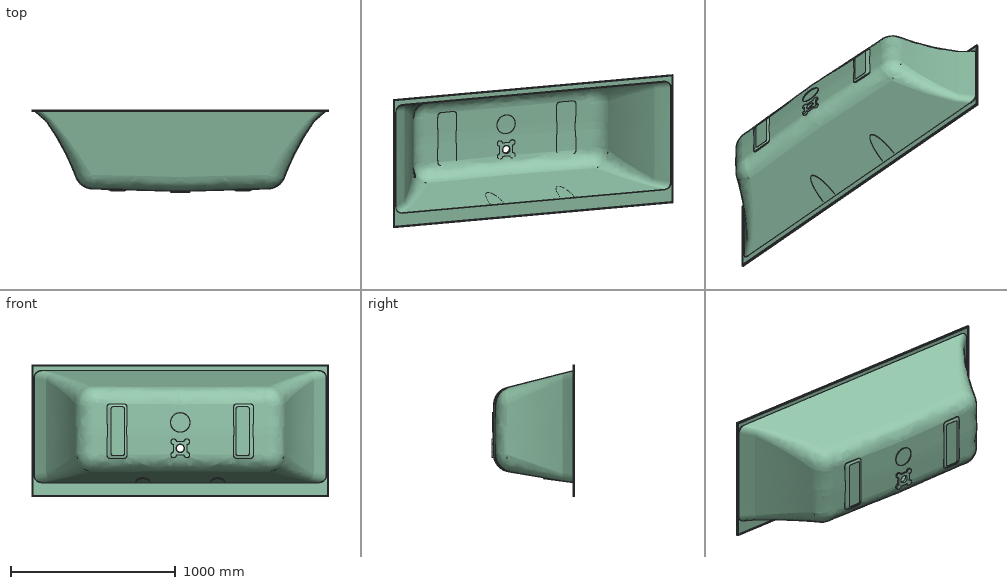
import cadquery as cq
import math


RIM_LENGTH = 1800.0
RIM_WIDTH = 800.0
RIM_THICKNESS = 10.0
LIP_WIDTH = 6.0

WALL = 6.0
TOTAL_DEPTH = 502.78

STATIONS = [
    (0.0, 894.0, 45.0),
    (38.0, 848.0, 45.0),
    (72.0, 812.0, 45.0),
    (180.0, 742.0, 61.0),
    (288.0, 685.0, 80.0),
    (390.0, 641.0, 99.0),
    (510.0, 596.0, 121.0),
]
FLARE_STATIONS = 3

UPPER_RIM_Z, UPPER_SLOPE = 367.0, 0.255
LOWER_RIM_Z, LOWER_SLOPE = -317.3, 0.168

FLOOR_DEPTH = 496.0
FLOOR_FLAT = 48.0
FLOOR_FALL_ACROSS = 0.025
FLOOR_FALL_ALONG = 0.028
FLOOR_RADIUS = 110.0

PAD_X, PAD_Z = 379.0, -3.0
PAD_LENGTH, PAD_WIDTH, PAD_CORNER = 297.0, 80.0, 12.0
PAD_DEPTH = 492.0
PAD_FLANK_ANGLE = 70.0
PAD_BASE_X, PAD_BASE_LENGTH, PAD_BASE_WIDTH, PAD_BASE_CORNER = 384.0, 332.0, 123.0, 22.0

DISC_Z, DISC_RADIUS, DISC_DEPTH = 50.0, 59.0, 498.0

DRAIN_Z, DRAIN_RADIUS = -107.0, 24.0
DRAIN_BLOCK = 84.0
LUG_OFFSET, LUG_RADIUS = 40.0, 17.0

GRIP_X, GRIP_WIDTH = 227.0, 88.0
GRIP_START, GRIP_END = 18.0, 190.0
GRIP_HEIGHT = 6.0

ROOT_DEPTH = 470.0


def facing_front(depth):
    """Workplane parallel to the rim at the given depth; extruding goes toward -Y."""
    return cq.Workplane("XZ", origin=(0, -depth, 0))


def half_outline(depth, half_length, corner_radius, inset):
    """Half of the tub's cross-section at one depth: flat at X = 0, rounded at its two -X corners."""
    top = UPPER_RIM_Z - UPPER_SLOPE * depth - inset
    bottom = LOWER_RIM_Z + LOWER_SLOPE * depth + inset
    end = -half_length + inset
    radius = corner_radius - inset
    middle = radius * (1 - math.sqrt(0.5))
    return (
        facing_front(depth)
        .moveTo(0, top)
        .lineTo(end + radius, top)
        .threePointArc((end + middle, top - middle), (end, top - radius))
        .lineTo(end, bottom + radius)
        .threePointArc((end + middle, bottom + middle), (end + radius, bottom))
        .lineTo(0, bottom)
        .close()
        .val()
    )


def half_floor_block(inset):
    """Everything above the floor on the -X side: the floor is crowned across and falls toward the end."""
    reach = RIM_LENGTH / 2
    edge_depth = FLOOR_DEPTH - inset - FLOOR_FALL_ACROSS * (RIM_WIDTH / 2 - FLOOR_FLAT / 2)
    center_depth = FLOOR_DEPTH - inset
    profile = [
        (RIM_THICKNESS, RIM_WIDTH / 2),
        (-edge_depth, RIM_WIDTH / 2),
        (-center_depth, FLOOR_FLAT / 2),
        (-center_depth, -FLOOR_FLAT / 2),
        (-edge_depth, -RIM_WIDTH / 2),
        (RIM_THICKNESS, -RIM_WIDTH / 2),
    ]
    start = cq.Wire.makePolygon([cq.Vector(0, y, z) for y, z in profile], close=True)
    slant = cq.Vector(-reach, FLOOR_FALL_ALONG * reach, 0)
    return cq.Workplane(cq.Solid.extrudeLinear(start, [], slant))


def floor_rim(body):
    """Edges where the floor meets the walls: lower than the last wall station that clears the floor."""
    wall_depth = STATIONS[-2][0]
    selected = []
    for edge in body.edges().vals():
        box = edge.BoundingBox()
        is_low = -box.ymax > wall_depth
        is_off_center = box.xmin < -FLOOR_FLAT / 2
        is_floor_crease = edge.geomType() == "LINE" and abs(edge.Center().z) < FLOOR_FLAT
        if is_low and is_off_center and not is_floor_crease:
            selected.append(edge)
    return body.newObject(selected)


def half_tub(inset):
    """Half of the tub as a solid block, on the -X side, with every surface moved inward by the inset."""
    sections = [half_outline(*station, inset) for station in STATIONS]
    flare = cq.Solid.makeLoft(sections[:FLARE_STATIONS])
    walls = cq.Solid.makeLoft(sections[FLARE_STATIONS - 1:])
    body = cq.Workplane(flare.fuse(walls)).intersect(half_floor_block(inset))
    return floor_rim(body).fillet(FLOOR_RADIUS - inset)


def tub_body(inset):
    """Whole tub as a solid block: the outside at zero inset, the cavity at an inset of one wall."""
    half = half_tub(inset)
    return half.union(half.mirror("YZ"))


def rim():
    """Thin flange with a lip turned down along its outer edge."""
    plate = facing_front(0).rect(RIM_LENGTH, RIM_WIDTH).extrude(RIM_THICKNESS)
    recess = (
        facing_front(WALL)
        .rect(RIM_LENGTH - 2 * LIP_WIDTH, RIM_WIDTH - 2 * LIP_WIDTH)
        .extrude(RIM_THICKNESS)
    )
    return plate.cut(recess)


def rounded_plate(start, x, length, width, corner, height, taper=0):
    """Rounded rectangle centred at (x, PAD_Z), extruded by a signed height from the given depth."""
    return (
        facing_front(start)
        .center(x, PAD_Z)
        .sketch()
        .rect(width, length)
        .vertices()
        .fillet(corner)
        .finalize()
        .extrude(height, taper=taper)
    )


def foot_pad(side):
    """Flat pad whose flanks spread out toward the floor, trimmed to its base outline."""
    height = PAD_DEPTH - ROOT_DEPTH
    top = rounded_plate(
        PAD_DEPTH, side * PAD_X, PAD_LENGTH, PAD_WIDTH, PAD_CORNER, -height, taper=-PAD_FLANK_ANGLE
    )
    base = rounded_plate(
        ROOT_DEPTH, side * PAD_BASE_X, PAD_BASE_LENGTH, PAD_BASE_WIDTH, PAD_BASE_CORNER, height
    )
    return top.intersect(base)


def round_pad():
    return facing_front(ROOT_DEPTH).center(0, DISC_Z).circle(DISC_RADIUS).extrude(DISC_DEPTH - ROOT_DEPTH)


def drain_block():
    height = TOTAL_DEPTH - ROOT_DEPTH
    base = facing_front(ROOT_DEPTH).center(0, DRAIN_Z)
    block = base.rect(DRAIN_BLOCK, DRAIN_BLOCK).extrude(height)
    lugs = base.rect(2 * LUG_OFFSET, 2 * LUG_OFFSET, forConstruction=True).vertices().circle(LUG_RADIUS)
    return block.union(lugs.extrude(height))


def drain_hole():
    return facing_front(0).center(0, DRAIN_Z).circle(DRAIN_RADIUS).extrude(TOTAL_DEPTH)


def lower_wall_z(depth):
    return LOWER_RIM_Z + LOWER_SLOPE * depth


def grip_pad(x):
    """Half-oval pad that rises gradually from the wall with distance from the rim."""
    wedge = (
        cq.Workplane("YZ", origin=(x - GRIP_WIDTH / 2, 0, 0))
        .polyline([
            (-GRIP_START, lower_wall_z(GRIP_START)),
            (-GRIP_END, lower_wall_z(GRIP_END) - GRIP_HEIGHT),
            (-GRIP_END, lower_wall_z(GRIP_END) + WALL),
            (-GRIP_START, lower_wall_z(GRIP_START) + WALL),
        ])
        .close()
        .extrude(GRIP_WIDTH)
    )
    oval = (
        cq.Workplane("XY", origin=(x, -GRIP_START, -RIM_WIDTH / 2))
        .ellipse(GRIP_WIDTH / 2, GRIP_END - GRIP_START)
        .extrude(RIM_WIDTH)
    )
    return wedge.intersect(oval)


result = tub_body(0).union(rim())
for side in (-1, 1):
    result = result.union(foot_pad(side)).union(grip_pad(side * GRIP_X))
result = result.union(round_pad()).union(drain_block())
result = result.cut(tub_body(WALL)).cut(drain_hole())